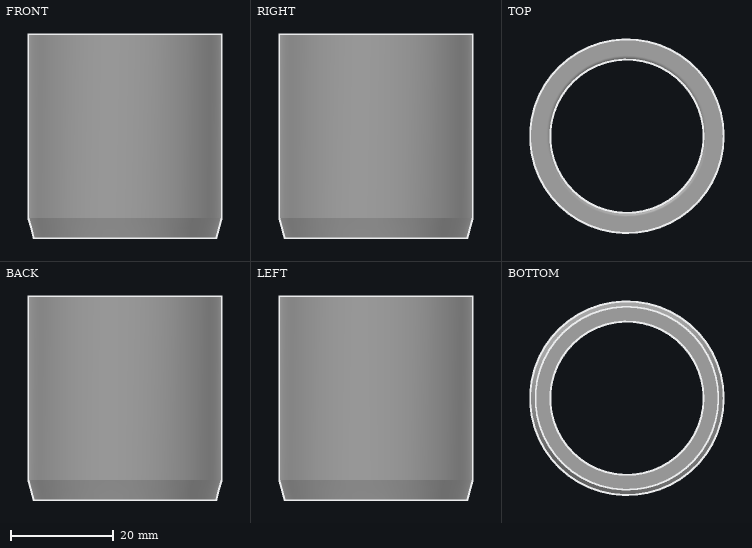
import cadquery as cq
import math

length = 40.0
outer_diameter = 38.0
bore_diameter = 30.0
lead_in_length = 4.0
lead_in_angle = 15.0
bore_fillet = 0.8

outer_radius = outer_diameter / 2
bore_radius = bore_diameter / 2
tip_radius = outer_radius - lead_in_length * math.tan(math.radians(lead_in_angle))


def bushing_body():
    """Revolve the wall section: tapered lead-in at the bottom, straight above."""
    section = (
        cq.Workplane("XZ")
        .moveTo(bore_radius, 0)
        .lineTo(tip_radius, 0)
        .lineTo(outer_radius, lead_in_length)
        .lineTo(outer_radius, length)
        .lineTo(bore_radius, length)
        .close()
    )
    return section.revolve(360, (0, 0, 0), (0, 1, 0))


def round_bore_mouth(body):
    """Round the upper edge of the bore."""
    bore_edge = body.faces(">Z").edges(cq.selectors.RadiusNthSelector(0))
    return bore_edge.fillet(bore_fillet)


result = round_bore_mouth(bushing_body())